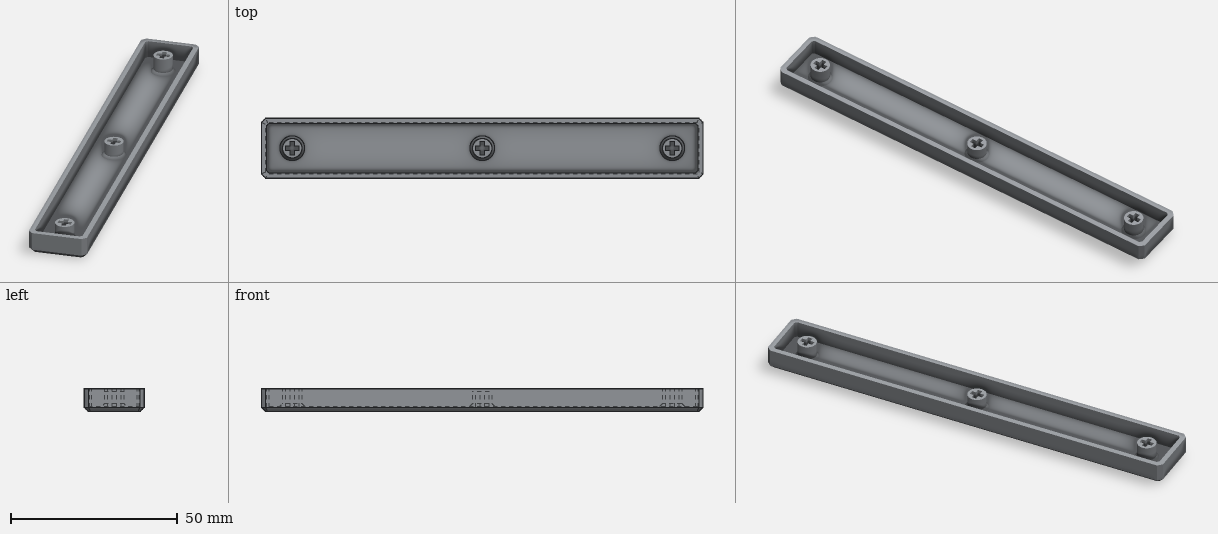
import cadquery as cq

length = 132.4
width = 18.0
height = 6.9
outer_bevel = 1.3
wall = 1.6
floor = 1.6
inner_corner_bevel = 0.7

post_spacing = 56.9
post_diameter = 5.8
end_post_top = height
middle_post_top = 6.1
flare = 0.8
socket_length = 4.1
socket_width = 1.5


def make_tray():
    """Open tray with bevelled outer corners and bottom edges."""
    body = cq.Workplane("XY").box(length, width, height, centered=(True, True, False))
    body = body.edges("|Z").chamfer(outer_bevel)
    body = body.faces("<Z").edges().chamfer(outer_bevel)
    cavity = (
        cq.Workplane("XY", origin=(0, 0, floor))
        .rect(length - 2 * wall, width - 2 * wall)
        .extrude(height - floor)
        .edges("|Z")
        .chamfer(inner_corner_bevel)
    )
    return body.cut(cavity)


def make_post(x, top):
    """Round post with a conical flare at its foot."""
    radius = post_diameter / 2
    profile = [
        (0, floor),
        (radius + flare, floor),
        (radius, floor + flare),
        (radius, top),
        (0, top),
    ]
    post = cq.Workplane("XZ").polyline(profile).close().revolve(360, (0, 0), (0, 1))
    return post.translate((x, 0, 0))


def make_socket(x, top):
    """Cross-shaped cutter running from the top of a post down to the floor."""
    socket_depth = top - floor
    base = cq.Workplane("XY", origin=(x, 0, floor))
    along_x = base.rect(socket_length, socket_width).extrude(socket_depth)
    along_y = base.rect(socket_width, socket_length).extrude(socket_depth)
    return along_x.union(along_y)


posts = [
    (-post_spacing, end_post_top),
    (0, middle_post_top),
    (post_spacing, end_post_top),
]

result = make_tray()
for post_x, post_top in posts:
    result = result.union(make_post(post_x, post_top))
    result = result.cut(make_socket(post_x, post_top))